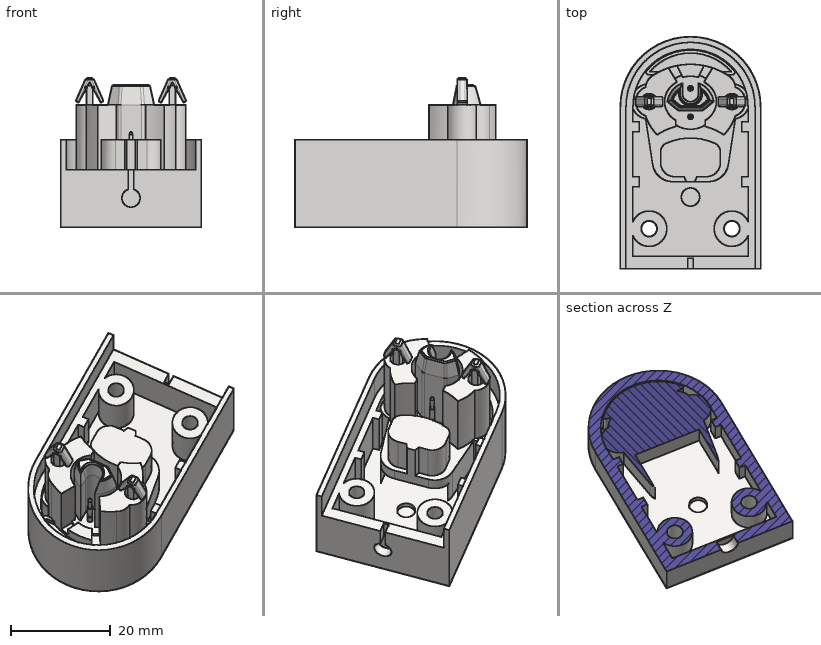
import cadquery as cq
import math


outer_radius = 14.1
front_y = -32.5
wall_top_z = 17.6
ledge_z = 11.6
floor_z = 2.0
upper_radius = 12.95
cavity_radius = 11.55
cavity_front_y = -30.0
rib_length = 2.0
rib_reach = 1.3
rib_centers_y = [-3.95, -15.0]
boss_x = 8.3
boss_y = -24.45
boss_radius = 3.55
screw_radius = 1.55
cable_radius = 1.83
cable_z = 5.9
cable_depth = 2.1
cable_slot_width = 1.05
floor_recess_y = -18.1
floor_recess_depth = 1.0

base_top_z = 9.6
base_front_y = -15.0
base_front_half_width = 7.07
base_shoulder_half_width = 8.95
base_shoulder_y = -2.7
base_corner_radius = 4.0
base_opening_half_width = 7.1
base_opening_back_y = -4.0
base_opening_top_z = 7.0
ear_pad_radius = 3.55

crescent_radius = 11.4
crescent_y = 6.45
crescent_wall = 0.6
crescent_pocket_depth = 1.0
crescent_corner_radius = 0.5

tower_y = 1.06
tower_top_z = 24.6
tower_flank_radius = 9.45
tower_arc_radius = 13.8
tower_back_y = 8.55
tower_front_apex_y = -3.57
tower_back_corner_x = 7.3
tower_front_corner_x = 6.7
ear_root_x = 9.0
ear_tip_x = 11.0
tower_bore_half_width = 5.2
tower_bore_half_depth = 4.6
key_bore_radius = 5.1
front_gap_width = 5.9
back_gap_inner = (2.7, 4.95)
back_gap_outer = (5.05, 8.9)
key_inner = (1.45, 5.7)
key_outer = (3.0, 8.85)
key_top_z = ledge_z

socket_floor_z = 10.3
socket_radius = 5.56
nozzle_top_z = 28.6
nozzle_front_y = -0.8
nozzle_front_half_width = 2.4
nozzle_half_width = 4.65
nozzle_back_y = 5.05
nozzle_taper = 11.0
nozzle_corner_radius = 0.9
nozzle_chamfer = 0.25
throat_y = 2.65
throat_radius = 1.6
throat_taper = 7.5
lead_in_radius = 2.05
lead_in_depth = 0.4
lead_in_taper = 40.0

pad_half_width = 6.0
pad_shoulder_y = -7.9
pad_back_y = -6.25
pad_front_y = -14.0
pad_back_corner_radius = 1.9
pad_front_corner_radius = 2.8
tab_root_half_width = 1.3
tab_tip_half_width = 0.85

clip_x = 8.3
clip_top_z = 30.0
clip_depth = 2.0
clip_post_width = 1.3
clip_crown_half_width = 0.75
clip_apex_z = 29.1
clip_tip_outer = (2.78, 25.4)
clip_tip_inner = (2.25, 25.0)
clip_notch_z = 28.1
clip_notch_radius = 0.2
clip_notch_x = 0.72
clip_arm_round = 0.5
clip_crown_chamfer = 0.35
clip_well_radius = 1.6
clip_well_floor_z = 20.6
clip_foot_radius = 1.25
clip_foot_length = 3.0

pin_positions_y = [-2.0, 3.7]
pin_top_z = 19.2
pin_shoulder_z = 15.8
pin_groove_z = 12.3
pin_groove_width = 0.3
pin_body_radius = 0.52
pin_groove_radius = 0.42
pin_stem_radius = 0.38
pin_tip_radius = 0.1
pin_tip_length = 0.6


def level(z):
    """Workplane parallel to XY at height z."""
    return cq.Workplane("XY").workplane(offset=z)


def cylinder(x, y, radius, bottom_z, top_z):
    return level(bottom_z).center(x, y).circle(radius).extrude(top_z - bottom_z)


def block(x_min, x_max, y_min, y_max, bottom_z, top_z):
    return cq.Workplane("XY").box(
        x_max - x_min, y_max - y_min, top_z - bottom_z, centered=False
    ).translate((x_min, y_min, bottom_z))


def round_backed(radius, y_front, bottom_z, top_z):
    """Prism with parallel sides and a half-round back centred on the Z axis."""
    return (
        level(bottom_z)
        .moveTo(-radius, y_front)
        .lineTo(radius, y_front)
        .lineTo(radius, 0)
        .threePointArc((0, radius), (-radius, 0))
        .close()
        .extrude(top_z - bottom_z)
    )


def make_housing():
    body = round_backed(outer_radius, front_y, 0, wall_top_z)
    body = body.cut(round_backed(upper_radius, front_y, ledge_z, wall_top_z))
    body = body.cut(round_backed(cavity_radius, cavity_front_y, floor_z, ledge_z))

    for side in (-1, 1):
        for y in rib_centers_y:
            rib = cq.Workplane("XY").box(rib_reach, rib_length, ledge_z - floor_z)
            rib_x = side * (cavity_radius - rib_reach / 2)
            body = body.union(rib.translate((rib_x, y, (ledge_z + floor_z) / 2)))
        body = body.union(cylinder(side * boss_x, boss_y, boss_radius, floor_z, ledge_z))
        body = body.cut(cylinder(side * boss_x, boss_y, screw_radius, 0, ledge_z))

    entry = (
        cq.Workplane("XZ", origin=(0, front_y, cable_z)).circle(cable_radius).extrude(-cable_depth)
    )
    half_slot = cable_slot_width / 2
    slot = block(-half_slot, half_slot, front_y, front_y + cable_depth, cable_z, ledge_z)
    recess = cylinder(0, floor_recess_y, cable_radius, floor_z - floor_recess_depth, floor_z)
    return body.cut(entry).cut(slot).cut(recess)


def arc_drop(x, radius):
    """Distance that a circular arc falls below its apex at offset x."""
    return radius - math.sqrt(radius**2 - x**2)


def flank_offset(x):
    """Y offset from the tower centre of the flank circle at offset x."""
    return math.sqrt(tower_flank_radius**2 - x**2)


def tower_prism(bottom_z, top_z):
    """Tower outline: concentric flanks, a bowed back and front, and an ear on each side."""
    back_y = tower_back_y - arc_drop(tower_back_corner_x, tower_arc_radius)
    front_corner_y = tower_y - flank_offset(tower_front_corner_x)
    root_dy = flank_offset(ear_root_x)
    back_mid_x = (tower_back_corner_x + ear_root_x) / 2
    front_mid_x = (tower_front_corner_x + ear_root_x) / 2
    back_mid_y = tower_y + flank_offset(back_mid_x)
    front_mid_y = tower_y - flank_offset(front_mid_x)
    return (
        level(bottom_z)
        .moveTo(-tower_back_corner_x, back_y)
        .threePointArc((0, tower_back_y), (tower_back_corner_x, back_y))
        .threePointArc((back_mid_x, back_mid_y), (ear_root_x, tower_y + root_dy))
        .threePointArc((ear_tip_x, tower_y), (ear_root_x, tower_y - root_dy))
        .threePointArc((front_mid_x, front_mid_y), (tower_front_corner_x, front_corner_y))
        .threePointArc((0, tower_front_apex_y), (-tower_front_corner_x, front_corner_y))
        .threePointArc((-front_mid_x, front_mid_y), (-ear_root_x, tower_y - root_dy))
        .threePointArc((-ear_tip_x, tower_y), (-ear_root_x, tower_y + root_dy))
        .threePointArc((-back_mid_x, back_mid_y), (-tower_back_corner_x, back_y))
        .close()
        .extrude(top_z - bottom_z)
    )


def back_wedge(inner, outer, bottom_z, top_z):
    """Symmetric wedge that widens from the inner to the outer point."""
    points = [(-inner[0], inner[1]), (-outer[0], outer[1]), outer, inner]
    return level(bottom_z).polyline(points).close().extrude(top_z - bottom_z)


def crescent(radius, chord_y, bottom_z, top_z):
    """Segment of a disc on the back side of a chord."""
    chord_x = math.sqrt(radius**2 - chord_y**2)
    return (
        level(bottom_z)
        .moveTo(-chord_x, chord_y)
        .threePointArc((0, radius), (chord_x, chord_y))
        .close()
        .extrude(top_z - bottom_z)
    )


def make_base():
    front = (
        level(floor_z)
        .polyline([
            (-base_front_half_width, base_front_y),
            (base_front_half_width, base_front_y),
            (base_shoulder_half_width, base_shoulder_y),
            (base_shoulder_half_width, tower_y),
            (-base_shoulder_half_width, tower_y),
            (-base_shoulder_half_width, base_shoulder_y),
        ])
        .close()
        .extrude(base_top_z - floor_z)
        .edges("|Z")
        .edges("<Y")
        .fillet(base_corner_radius)
    )
    rim = crescent(crescent_radius, crescent_y, floor_z, base_top_z)
    rim = rim.edges("|Z").fillet(crescent_corner_radius)
    pocket_z = base_top_z - crescent_pocket_depth
    pocket_y = crescent_y + crescent_wall
    pocket = crescent(crescent_radius - crescent_wall, pocket_y, pocket_z, base_top_z)

    base = front.union(rim.cut(pocket)).union(tower_prism(floor_z, base_top_z))
    for side in (-1, 1):
        base = base.union(cylinder(side * clip_x, tower_y, ear_pad_radius, floor_z, base_top_z))
    base = base.intersect(round_backed(cavity_radius, cavity_front_y, floor_z, base_top_z))
    opening = block(
        -base_opening_half_width, base_opening_half_width,
        base_front_y, base_opening_back_y,
        floor_z, base_opening_top_z,
    )
    return base.cut(opening)


def make_tower():
    tower = tower_prism(base_top_z, tower_top_z)
    bore = level(base_top_z).center(0, tower_y).ellipse(tower_bore_half_width, tower_bore_half_depth)
    tower = tower.cut(bore.extrude(tower_top_z - base_top_z))
    half_gap = front_gap_width / 2
    tower = tower.cut(block(-half_gap, half_gap, base_front_y, tower_y, base_top_z, tower_top_z))
    tower = tower.cut(back_wedge(back_gap_inner, back_gap_outer, base_top_z, tower_top_z))

    key = back_wedge(key_inner, key_outer, base_top_z, key_top_z)
    key = key.intersect(tower_prism(base_top_z, key_top_z))
    key = key.cut(cylinder(0, tower_y, key_bore_radius, base_top_z, key_top_z))
    tower = tower.union(key)

    for side in (-1, 1):
        x = side * clip_x
        tower = tower.cut(cylinder(x, tower_y, clip_well_radius, clip_well_floor_z, tower_top_z))
        foot_z = clip_well_floor_z - clip_foot_length
        tower = tower.cut(cylinder(x, tower_y, clip_foot_radius, foot_z, clip_well_floor_z))
    return tower


def make_socket_floor():
    """Raised disc under the bore and both gaps of the tower."""
    return cylinder(0, tower_y, socket_radius, base_top_z, socket_floor_z)


def nozzle_outline(z):
    return (
        level(z)
        .moveTo(-nozzle_half_width, tower_y)
        .lineTo(-nozzle_front_half_width, nozzle_front_y)
        .lineTo(nozzle_front_half_width, nozzle_front_y)
        .lineTo(nozzle_half_width, tower_y)
        .threePointArc((0, nozzle_back_y), (-nozzle_half_width, tower_y))
        .close()
    )


def throat_outline(z, radius):
    back_y = nozzle_back_y + radius
    return (
        level(z)
        .moveTo(-radius, back_y)
        .lineTo(-radius, throat_y)
        .threePointArc((0, throat_y - radius), (radius, throat_y))
        .lineTo(radius, back_y)
        .close()
    )


def make_nozzle():
    straight_height = tower_top_z - socket_floor_z
    tapered_height = nozzle_top_z - tower_top_z
    straight = nozzle_outline(socket_floor_z).extrude(straight_height)
    straight = straight.edges("|Z").edges("<Y").fillet(nozzle_corner_radius)
    tapered = nozzle_outline(tower_top_z).extrude(tapered_height, taper=nozzle_taper)
    tapered = tapered.faces("<Y").edges("not |X").fillet(nozzle_corner_radius)
    throat = throat_outline(socket_floor_z, throat_radius).extrude(straight_height)
    flare = throat_outline(tower_top_z, throat_radius).extrude(tapered_height, taper=-throat_taper)
    tapered = tapered.faces(">Z").edges().chamfer(nozzle_chamfer)
    lead_in = throat_outline(nozzle_top_z - lead_in_depth, lead_in_radius)
    lead_in = lead_in.extrude(lead_in_depth, taper=-lead_in_taper)
    return straight.union(tapered).cut(throat).cut(flare).cut(lead_in)


def make_pad():
    body = (
        level(base_top_z)
        .moveTo(-pad_half_width, pad_shoulder_y)
        .threePointArc((0, pad_back_y), (pad_half_width, pad_shoulder_y))
        .lineTo(pad_half_width, pad_front_y)
        .lineTo(-pad_half_width, pad_front_y)
        .close()
        .extrude(wall_top_z - base_top_z)
    )
    body = body.edges("|Z").edges(">Y").fillet(pad_back_corner_radius)
    body = body.edges("|Z").edges("<Y").fillet(pad_front_corner_radius)
    tab = (
        level(base_top_z)
        .polyline([
            (-tab_root_half_width, pad_front_y),
            (-tab_tip_half_width, base_front_y),
            (tab_tip_half_width, base_front_y),
            (tab_root_half_width, pad_front_y),
        ])
        .close()
        .extrude(wall_top_z - base_top_z)
    )
    return body.union(tab)


def make_insert():
    insert = make_base().union(make_tower()).union(make_socket_floor())
    return insert.union(make_nozzle()).union(make_pad())


def make_clip(x):
    """Arrow-shaped clip: a flat post with two swept-back arms and a round foot."""
    head = cq.Workplane("XZ", origin=(0, clip_depth / 2, 0)).polyline([
        (-clip_crown_half_width, clip_top_z),
        (clip_crown_half_width, clip_top_z),
        clip_tip_outer,
        clip_tip_inner,
        (0, clip_apex_z),
        (-clip_tip_inner[0], clip_tip_inner[1]),
        (-clip_tip_outer[0], clip_tip_outer[1]),
    ]).close().extrude(clip_depth)
    run = clip_tip_outer[0] - clip_crown_half_width
    rise = clip_top_z - clip_tip_outer[1]
    for side in (-1, 1):
        along_arm = cq.selectors.ParallelDirSelector(cq.Vector(side * run, 0, -rise))
        head = head.edges(along_arm).fillet(clip_arm_round)
    head = head.faces(">Z").edges().chamfer(clip_crown_chamfer)
    half_post = clip_post_width / 2
    half_depth = clip_depth / 2
    post_top_z = clip_apex_z - half_post
    post = block(-half_post, half_post, -half_depth, half_depth, clip_well_floor_z, post_top_z)
    foot = cylinder(0, 0, clip_foot_radius, clip_well_floor_z - clip_foot_length, clip_well_floor_z)
    clip = head.union(post).union(foot)
    for side in (-1, 1):
        notch = cq.Workplane("XZ", origin=(side * clip_notch_x, half_depth, clip_notch_z))
        clip = clip.cut(notch.circle(clip_notch_radius).extrude(clip_depth))
    return clip.translate((x, tower_y, 0))


def make_pin(y):
    """Stepped round pin with a groove and a pointed tip, standing on the socket floor."""
    half_groove = pin_groove_width / 2
    profile = [
        (0, socket_floor_z),
        (pin_body_radius, socket_floor_z),
        (pin_body_radius, pin_groove_z - half_groove),
        (pin_groove_radius, pin_groove_z - half_groove),
        (pin_groove_radius, pin_groove_z + half_groove),
        (pin_body_radius, pin_groove_z + half_groove),
        (pin_body_radius, pin_shoulder_z),
        (pin_stem_radius, pin_shoulder_z),
        (pin_stem_radius, pin_top_z - pin_tip_length),
        (pin_tip_radius, pin_top_z),
        (0, pin_top_z),
    ]
    pin = cq.Workplane("XZ").polyline(profile).close().revolve(360, (0, 0, 0), (0, 1, 0))
    return pin.translate((0, y, 0))


housing = make_housing()
insert = make_insert()
clips = [make_clip(side * clip_x) for side in (-1, 1)]
pins = [make_pin(y) for y in pin_positions_y]

bodies = [housing, insert, *clips, *pins]
result = cq.Compound.makeCompound([body.solids().val() for body in bodies])